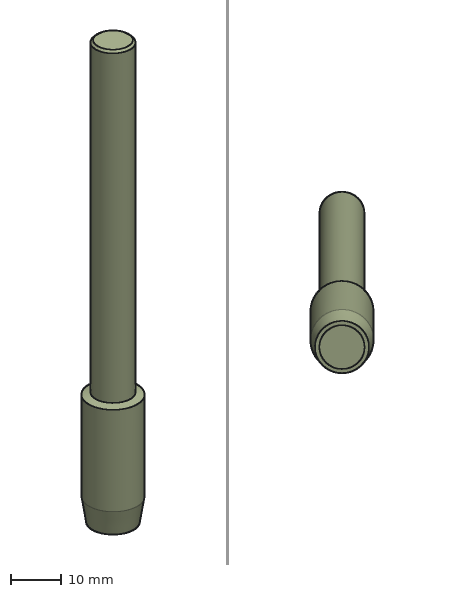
import cadquery as cq

total_length = 110.0

rod_diameter = 9.0
rod_tip_diameter = 7.9
rod_tip_height = 0.5

sleeve_diameter = 12.6
sleeve_end_diameter = 10.8
sleeve_length = 29.6
sleeve_taper_height = 5.8
sleeve_shoulder_height = 0.5

rod_radius = rod_diameter / 2
sleeve_radius = sleeve_diameter / 2


def make_rod():
    """Round rod along Z, from the base to a chamfered upper tip."""
    return (
        cq.Workplane("XZ")
        .moveTo(0, 0)
        .lineTo(rod_radius, 0)
        .lineTo(rod_radius, total_length - rod_tip_height)
        .lineTo(rod_tip_diameter / 2, total_length)
        .lineTo(0, total_length)
        .close()
        .revolve(360, (0, 0), (0, 1))
    )


def make_sleeve():
    """Sleeve bored for the rod, tapered below, with a sloped upper shoulder."""
    return (
        cq.Workplane("XZ")
        .moveTo(rod_radius, 0)
        .lineTo(sleeve_end_diameter / 2, 0)
        .lineTo(sleeve_radius, sleeve_taper_height)
        .lineTo(sleeve_radius, sleeve_length - sleeve_shoulder_height)
        .lineTo(rod_radius, sleeve_length)
        .close()
        .revolve(360, (0, 0), (0, 1))
    )


rod = make_rod()
sleeve = make_sleeve()

result = cq.Compound.makeCompound([rod.val(), sleeve.val()])